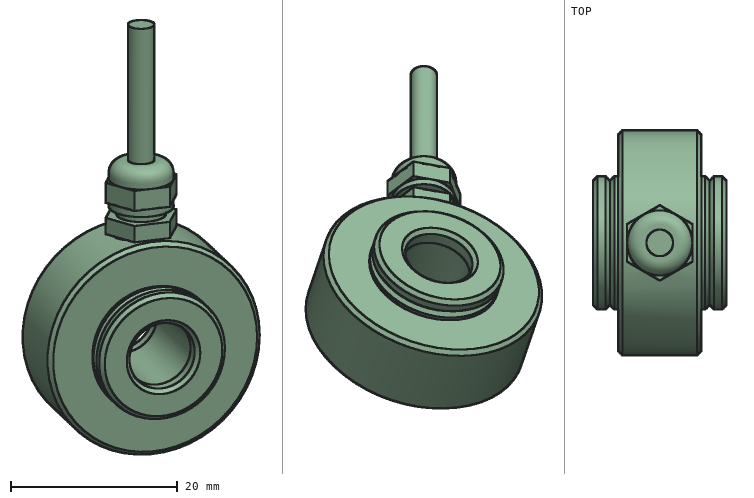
import cadquery as cq

ring_diameter = 27.0
ring_width = 10.0
hub_diameter = 16.0
bore_diameter = 8.3
overall_width = 16.0
washer_thickness = 2.0
hub_width = overall_width - 2 * washer_thickness
edge_chamfer = 0.55

ring_top = ring_diameter / 2
spigot_diameter = 6.8
spigot_depth = 2.65
gland_diameter = 7.8
hex_flats = gland_diameter
neck_diameter = 6.0
lower_hex_height = 2.05
neck_height = 0.95
collar_height = 0.95
upper_hex_height = 2.55
cap_height = 2.4
cap_round = 1.65
neck_base = ring_top + lower_hex_height
collar_base = neck_base + neck_height
upper_hex_base = collar_base + collar_height
cap_base = upper_hex_base + upper_hex_height
gland_top = cap_base + cap_height

cable_diameter = 3.2
overall_height = 53.15
cable_top = overall_height - ring_diameter / 2


def cylinder_x(diameter, width, start):
    """Cylinder along X that begins at x = start."""
    return cq.Workplane("YZ", origin=(start, 0, 0)).circle(diameter / 2).extrude(width)


def cylinder_z(diameter, height, base):
    """Upright cylinder that stands on z = base."""
    return cq.Workplane("XY", origin=(0, 0, base)).circle(diameter / 2).extrude(height)


def hexagon_z(height, base):
    """Upright hexagonal prism with two flats facing +X and -X."""
    profile = cq.Workplane("XY", origin=(0, 0, base)).polygon(6, hex_flats, circumscribed=True)
    return profile.extrude(height)


def make_housing():
    """Chamfered ring and hub with the bore and the gland socket."""
    ring = cylinder_x(ring_diameter, ring_width, -ring_width / 2).edges().chamfer(edge_chamfer)
    hub = cylinder_x(hub_diameter, hub_width, -hub_width / 2).edges().chamfer(edge_chamfer)
    bore = cylinder_x(bore_diameter, hub_width, -hub_width / 2)
    socket = cylinder_z(spigot_diameter, spigot_depth, ring_top - spigot_depth)
    return ring.union(hub).cut(bore).cut(socket)


def make_washer(side):
    """End washer on the +X (side = 1) or -X (side = -1) face of the hub."""
    center = side * (hub_width + washer_thickness) / 2
    disc = cylinder_x(hub_diameter, washer_thickness, center - washer_thickness / 2)
    disc = disc.edges().chamfer(edge_chamfer)
    bore = cylinder_x(bore_diameter, washer_thickness, center - washer_thickness / 2)
    outer_face = ">X" if side > 0 else "<X"
    bore_edge = cq.selectors.RadiusNthSelector(0)
    return disc.cut(bore).faces(outer_face).edges(bore_edge).chamfer(edge_chamfer)


def make_gland():
    """Spigot, lower hexagon, neck, collar, upper hexagon and rounded cap."""
    gland = cylinder_z(spigot_diameter, spigot_depth, ring_top - spigot_depth)
    gland = gland.union(hexagon_z(lower_hex_height, ring_top))
    gland = gland.union(cylinder_z(neck_diameter, neck_height, neck_base))
    gland = gland.union(cylinder_z(gland_diameter, collar_height, collar_base))
    gland = gland.union(hexagon_z(upper_hex_height, upper_hex_base))
    cap = cylinder_z(gland_diameter, cap_height, cap_base).edges(">Z").fillet(cap_round)
    return gland.union(cap)


def make_cable():
    """Round cable that rises from the top of the gland."""
    return cylinder_z(cable_diameter, cable_top - gland_top, gland_top)


housing = make_housing()
washers = [make_washer(side) for side in (-1, 1)]
gland = make_gland()
cable = make_cable()

result = cq.Compound.makeCompound(
    [housing.val(), *[washer.val() for washer in washers], gland.val(), cable.val()]
)